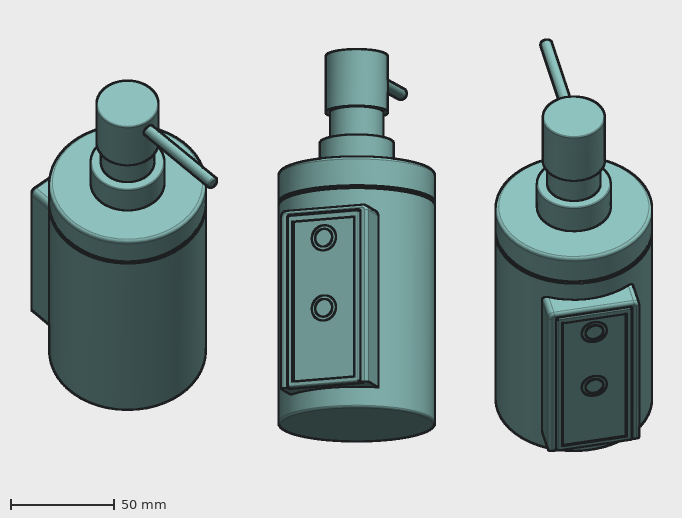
import cadquery as cq

TOTAL_HEIGHT = 183.3
WALL_X = -46.0

BOTTLE_DIAMETER = 76.0
BOTTLE_RADIUS = BOTTLE_DIAMETER / 2
BOTTLE_TOP = 109.6
BOTTLE_FOOT_FILLET = 1.1
SEAM_CHAMFER = 0.7
LID_TOP = 125.0
LID_FILLET = 1.6
COLLAR_RADIUS = 18.0
COLLAR_TOP = 140.2
NECK_RADIUS = 13.0
HEAD_DIAMETER = 30.2
HEAD_BOTTOM = 155.0
PUMP_EDGE_FILLET = 0.5

SPOUT_RADIUS = 3.0
SPOUT_TIP_X = 62.0
SPOUT_ROOT_Z = 176.3
SPOUT_TILT = 0.8
SPOUT_TIP_FILLET = 0.7

HOLDER_WIDTH = 45.3
HOLDER_BOTTOM = 10.3
HOLDER_TOP = 98.5
HOLDER_WALL_GAP = 0.5
HOLDER_CORNER_RADIUS = 3.0
HOLDER_EDGE_FILLET = 1.6

PLATE_WIDTH = 37.0
PLATE_THICKNESS = 3.7
PLATE_EDGE_FILLET = 0.5
SLOT_CLEARANCE = 0.5
SLOT_TOP = 96.0
SLOT_CORNER_RADIUS = 1.6
RECESS_MOUTH_WIDTH = 32.3
RECESS_FLOOR_WIDTH = 31.0
RECESS_BOTTOM = 13.0
RECESS_TOP = 92.4
RECESS_DEPTH = 0.7

SCREW_HEIGHTS = (48.4, 83.2)
SCREW_RADIUS = 6.2
SCREW_EDGE_FILLET = 0.4
SCREW_HEAD_RISE = 0.5
SOCKET_RADIUS = 4.4
SOCKET_DEPTH = 0.4

PLATE_FRONT_X = WALL_X + PLATE_THICKNESS
RECESS_FLOOR_X = WALL_X + RECESS_DEPTH
HOLDER_BACK_X = WALL_X + HOLDER_WALL_GAP
PLATE_TOP = SLOT_TOP - SLOT_CLEARANCE


def upright_cylinder(radius, bottom, top):
    """Cylinder on the Z axis between two heights."""
    return cq.Workplane("XY").workplane(offset=bottom).circle(radius).extrude(top - bottom)


def block(x_range, width, z_range):
    """Box centred on Y = 0 that spans the given X and Z ranges."""
    length = x_range[1] - x_range[0]
    height = z_range[1] - z_range[0]
    return cq.Workplane("XY").box(length, width, height, centered=(False, True, False)).translate(
        (x_range[0], 0, z_range[0])
    )


def rod_along_x(radius, z, start_x, end_x):
    """Cylinder parallel to X at Y = 0 and height z."""
    return cq.Workplane("YZ", origin=(start_x, 0, z)).circle(radius).extrude(end_x - start_x)


def make_bottle():
    bottle = upright_cylinder(BOTTLE_RADIUS, 0, BOTTLE_TOP)
    bottle = bottle.faces("<Z").edges().fillet(BOTTLE_FOOT_FILLET)
    return bottle.faces(">Z").edges().chamfer(SEAM_CHAMFER)


def make_lid():
    lid = upright_cylinder(BOTTLE_RADIUS, BOTTLE_TOP, LID_TOP)
    lid = lid.faces(">Z").edges().fillet(LID_FILLET)
    return lid.faces("<Z").edges().chamfer(SEAM_CHAMFER)


def make_collar():
    collar = upright_cylinder(COLLAR_RADIUS, LID_TOP, COLLAR_TOP)
    return collar.faces(">Z").edges().fillet(PUMP_EDGE_FILLET)


def make_neck():
    return upright_cylinder(NECK_RADIUS, COLLAR_TOP, HEAD_BOTTOM)


def make_spout():
    spout = rod_along_x(SPOUT_RADIUS, SPOUT_ROOT_Z, 0, SPOUT_TIP_X)
    spout = spout.faces(">X").edges().fillet(SPOUT_TIP_FILLET)
    root = (0, 0, SPOUT_ROOT_Z)
    return spout.rotate(root, (0, 1, SPOUT_ROOT_Z), -SPOUT_TILT)


def make_pump_head():
    head = upright_cylinder(HEAD_DIAMETER / 2, HEAD_BOTTOM, TOTAL_HEIGHT)
    head = head.faces(">Z").edges().fillet(PUMP_EDGE_FILLET)
    return head.union(make_spout())


def make_plate_slot():
    slot_width = PLATE_WIDTH + 2 * SLOT_CLEARANCE
    slot = block((HOLDER_BACK_X, PLATE_FRONT_X), slot_width, (HOLDER_BOTTOM, SLOT_TOP))
    return slot.faces(">Z").edges("|X").fillet(SLOT_CORNER_RADIUS)


def make_holder():
    holder = block((HOLDER_BACK_X, 0), HOLDER_WIDTH, (HOLDER_BOTTOM, HOLDER_TOP))
    holder = holder.faces(">Z").edges("|X").fillet(HOLDER_CORNER_RADIUS)
    rounded_back_edges = holder.faces("<X").edges("not <Z")
    holder = rounded_back_edges.fillet(HOLDER_EDGE_FILLET)
    bottle_seat = upright_cylinder(BOTTLE_RADIUS, 0, BOTTLE_TOP)
    return holder.cut(bottle_seat).cut(make_plate_slot())


def make_screw(z):
    head_x = RECESS_FLOOR_X - SCREW_HEAD_RISE
    screw = rod_along_x(SCREW_RADIUS, z, head_x, PLATE_FRONT_X)
    screw = screw.faces("<X").edges().fillet(SCREW_EDGE_FILLET)
    socket = rod_along_x(SOCKET_RADIUS, z, head_x, head_x + SOCKET_DEPTH)
    return screw.cut(socket)


def make_plate_recess():
    """Shallow pocket whose long sides slope inward from the mouth to the floor."""
    mouth = RECESS_MOUTH_WIDTH / 2
    floor = RECESS_FLOOR_WIDTH / 2
    section = cq.Workplane("XY", origin=(0, 0, RECESS_BOTTOM)).polyline(
        [(WALL_X, -mouth), (RECESS_FLOOR_X, -floor), (RECESS_FLOOR_X, floor), (WALL_X, mouth)]
    )
    return section.close().extrude(RECESS_TOP - RECESS_BOTTOM)


def make_wall_plate():
    plate = block((WALL_X, PLATE_FRONT_X), PLATE_WIDTH, (HOLDER_BOTTOM, PLATE_TOP))
    plate = plate.faces("<X").edges().fillet(PLATE_EDGE_FILLET)
    plate = plate.cut(make_plate_recess())
    for z in SCREW_HEIGHTS:
        plate = plate.cut(rod_along_x(SCREW_RADIUS, z, WALL_X, PLATE_FRONT_X))
    return plate


bottle = make_bottle()
lid = make_lid()
collar = make_collar()
neck = make_neck()
pump_head = make_pump_head()
holder = make_holder()
wall_plate = make_wall_plate()
screws = [make_screw(z) for z in SCREW_HEIGHTS]

result = cq.Compound.makeCompound(
    [
        bottle.val(),
        lid.val(),
        collar.val(),
        neck.val(),
        pump_head.val(),
        holder.val(),
        wall_plate.val(),
        *[screw.val() for screw in screws],
    ]
)